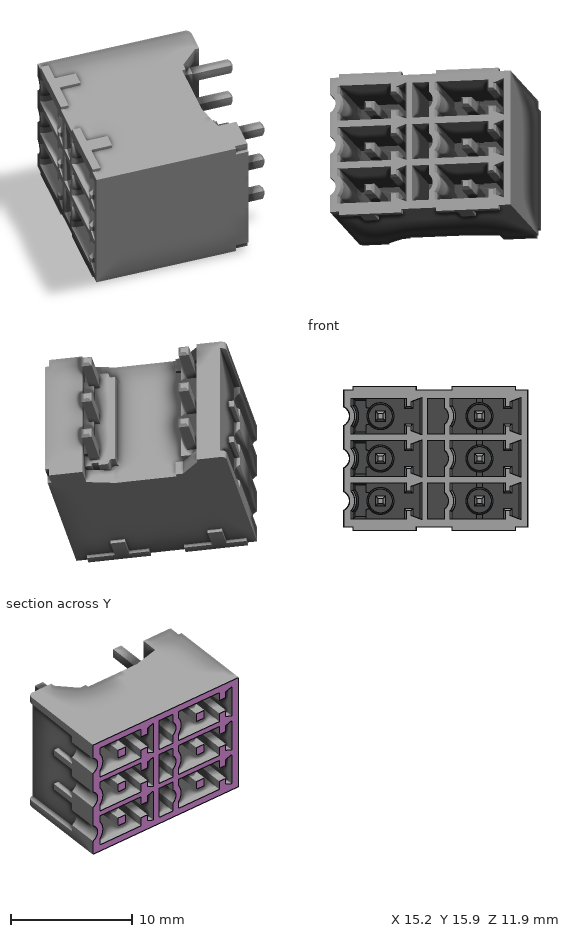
import cadquery as cq
import math


width = 15.2
height = 11.32
back_y = 13.25
pin_end_y = 15.9
total_height = 11.9

column_pitch = 8.17
row_pitch = 3.5
columns = [0, column_pitch]
rows = [-row_pitch, 0, row_pitch]
pin_x = 3.04

plate_inner_z = 4.45
corner_radius = 0.48
saddle_y = 11.05
block_y = 12.16
left_wing_x = 2.45
left_block_x = 3.96
step_x = 4.58
step_y = 11.35
chamfer_start_y = 12.88
right_block_x = 9.51
ramp_start_x = 9.68
right_wing_x = 12.05
ramp_end_y = 11.65
block_fillet = 0.3
saddle_end_x = right_block_x - block_fillet

groove_radius = 0.86
groove_depth = 0.48
groove_center_x = groove_depth - groove_radius
groove_length = 7.28

panel_depth = 0.48
panel_front_z = 4.91
panel_back_z = 5.01
panel_rib = 0.55
panel_rib_end_y = 9.73

pocket_height = 2.94
pocket_depth = 7.95
pocket_left_x = 0.78
pocket_right_x = 6.3
bulge_radius = 1.45
lead_in = 0.16
lead_in_length = 0.4
hook_left_x = 5.01
hook_right_x = 5.71
hook_reach = 0.83
gusset_height = 0.22

recess_depth = 0.64
recess_right_x = 1.85
recess_slot_height = 1.37
recess_taper = 0.17
recess_corner_radius = 0.13
boss_radius = 1.11
boss_height = 0.48
boss_chamfer = 0.13
floor_slot_width = 0.46
floor_slot_depth = 0.32

middle_left_x = 6.92
middle_right_x = 8.33

pin_size = 0.85
pin_start_y = 1.08
pin_chamfer = 0.2
pin_tip_length = 0.48

tab_left_x = 0.76
tab_width = 5.25
tab_depth = 0.68
tab_stem_left_x = 2.45
tab_stem_width = 1.21
tab_stem_depth = 2.5

back_slot_width = 0.59
back_slot_depth = 0.24
block_rise_x = 9.81
block_rise_radius = 0.22
wing_rib_y = 12.6
corner_notch_x = 0.32
corner_notch_z = 0.64


def box(x0, x1, y0, y1, z0, z1):
    return cq.Workplane("XY").box(x1 - x0, y1 - y0, z1 - z0, centered=False).translate((x0, y0, z0))


def y_cylinder(x, z, radius, y0, y1):
    return cq.Workplane("XZ", origin=(x, y0, z)).circle(radius).extrude(y0 - y1)


def plate():
    """Top plate, with the saddle cut into its rear edge."""
    outline = (
        cq.Workplane("XY")
        .moveTo(0, 0)
        .lineTo(width, 0)
        .lineTo(width, back_y)
        .lineTo(right_wing_x, back_y)
        .lineTo(right_wing_x, ramp_end_y)
        .lineTo(ramp_start_x, saddle_y)
        .lineTo(step_x, saddle_y)
        .lineTo(step_x, step_y)
        .lineTo(left_block_x, step_y)
        .lineTo(left_wing_x, chamfer_start_y)
        .lineTo(left_wing_x, back_y)
        .lineTo(corner_radius, back_y)
        .radiusArc((0, back_y - corner_radius), -corner_radius)
        .close()
    )
    return outline.extrude(height / 2 - plate_inner_z)


def core():
    """Housing between the two plates, with stepped blocks beside the saddle."""
    outline = (
        cq.Workplane("XY", origin=(0, 0, -plate_inner_z))
        .moveTo(0, 0)
        .lineTo(width, 0)
        .lineTo(width, back_y)
        .lineTo(right_wing_x, back_y)
        .lineTo(right_wing_x, block_y)
        .lineTo(right_block_x, block_y)
        .lineTo(right_block_x, saddle_y + block_fillet)
        .radiusArc((saddle_end_x, saddle_y), block_fillet)
        .lineTo(left_block_x, saddle_y)
        .lineTo(left_block_x, block_y)
        .lineTo(left_wing_x, block_y)
        .lineTo(left_wing_x, back_y)
        .lineTo(0, back_y)
        .close()
    )
    return outline.extrude(2 * plate_inner_z)


def side_panel():
    """Recess in the left side, leaving a rib between neighbouring rows."""
    panel = (
        cq.Workplane("YZ")
        .polyline([
            (groove_length, -panel_front_z),
            (back_y, -panel_back_z),
            (back_y, panel_back_z),
            (groove_length, panel_front_z),
        ])
        .close()
        .extrude(panel_depth)
    )
    for z in (-row_pitch / 2, row_pitch / 2):
        rib = box(0, panel_depth, groove_length, panel_rib_end_y, z - panel_rib / 2, z + panel_rib / 2)
        panel = panel.cut(rib)
    return panel


def tabs(x):
    """T-shaped keying tab of one column, running through to both faces."""
    half = total_height / 2
    bar = box(x + tab_left_x, x + tab_left_x + tab_width, 0, tab_depth, -half, half)
    stem_x = x + tab_stem_left_x
    return bar.union(box(stem_x, stem_x + tab_stem_width, 0, tab_stem_depth, -half, half))


def bulge_half_height(left, radius):
    """Half height at which the wall bulge meets a flat wall at X = left."""
    return math.sqrt(radius**2 - (left - groove_center_x) ** 2)


def pocket_outline(workplane, flare):
    """Pocket section; flare widens the side walls and thins the two hooks."""
    left = pocket_left_x - flare
    right = pocket_right_x + flare
    radius = bulge_radius - flare
    half = pocket_height / 2
    bulge = bulge_half_height(left, radius)
    hook_left = hook_left_x + flare
    hook_right = hook_right_x - flare
    hook_z = half - hook_reach + flare
    gusset_slope = gusset_height / (pocket_right_x - hook_right_x)
    gusset_z = half - gusset_slope * (pocket_right_x - hook_right)
    right_z = half + gusset_slope * flare
    return (
        workplane.moveTo(left, bulge)
        .lineTo(left, half)
        .lineTo(hook_left, half)
        .lineTo(hook_left, hook_z)
        .lineTo(hook_right, hook_z)
        .lineTo(hook_right, gusset_z)
        .lineTo(right, right_z)
        .lineTo(right, -right_z)
        .lineTo(hook_right, -gusset_z)
        .lineTo(hook_right, -hook_z)
        .lineTo(hook_left, -hook_z)
        .lineTo(hook_left, -half)
        .lineTo(left, -half)
        .lineTo(left, -bulge)
        .threePointArc((groove_center_x + radius, 0), (left, bulge))
        .close()
    )


def pocket():
    """Pocket of one cell, with a tapered lead-in at its mouth."""
    straight = pocket_outline(cq.Workplane("XZ"), 0).extrude(-pocket_depth)
    mouth = pocket_outline(cq.Workplane("XZ"), lead_in)
    mouth = pocket_outline(mouth.workplane(offset=-lead_in_length), 0).loft(ruled=True)
    return straight.union(mouth)


def recess_outline(workplane, taper):
    """Section of the floor recess behind the bulged wall."""
    left = pocket_left_x + taper
    radius = bulge_radius + taper
    half = pocket_height / 2 - taper
    bulge = bulge_half_height(left, radius)
    return (
        workplane.moveTo(left, bulge)
        .lineTo(left, half)
        .lineTo(recess_right_x, half)
        .lineTo(recess_right_x, -half)
        .lineTo(left, -half)
        .lineTo(left, -bulge)
        .threePointArc((groove_center_x + radius, 0), (left, bulge))
        .close()
    )


def floor_recess():
    """Tapered recess with a slot that leads to the boss."""
    recess = recess_outline(cq.Workplane("XZ", origin=(0, pocket_depth, 0)), 0)
    recess = recess_outline(recess.workplane(offset=-recess_depth), recess_taper).loft(ruled=True)
    half = recess_slot_height / 2
    end_y = pocket_depth + recess_depth
    slot = box(recess_right_x, pin_x, pocket_depth, end_y, -half, half)
    flare = recess_corner_radius
    corner_x = recess_right_x + flare
    throat = box(recess_right_x, corner_x, pocket_depth, end_y, -half - flare, half + flare)
    for z in (-half - flare, half + flare):
        throat = throat.cut(y_cylinder(corner_x, z, flare, pocket_depth, end_y))
    return recess.union(slot).union(throat)


def boss():
    """Round boss around the pin on the pocket floor."""
    y0 = pocket_depth - boss_height
    cylinder = y_cylinder(pin_x, 0, boss_radius, y0, pocket_depth + recess_depth)
    return cylinder.faces("<Y").chamfer(boss_chamfer)


def pin():
    """Square pin with a slender tip at the mating end and a chamfered solder end."""
    half = pin_size / 2
    bar = box(pin_x - half, pin_x + half, pin_start_y + pin_tip_length, pin_end_y, -half, half)
    bar = bar.faces(">Y").chamfer(pin_chamfer)
    tip_size = pin_size - 2 * pin_chamfer
    tip = (
        cq.Workplane("XZ", origin=(pin_x, pin_start_y, 0))
        .rect(tip_size, tip_size)
        .workplane(offset=-pin_tip_length)
        .rect(pin_size, pin_size)
        .loft(ruled=True)
    )
    return bar.union(tip)


def floor_slot():
    """Narrow upright slot across the floor of a right-hand pocket."""
    x = column_pitch + pin_x
    half = pocket_height / 2
    end_y = pocket_depth + floor_slot_depth
    return box(x - floor_slot_width / 2, x + floor_slot_width / 2, pocket_depth, end_y, -half, half)


def middle_pocket():
    """Pocket between the columns, extended by the groove in the wall beside it."""
    half = pocket_height / 2
    pocket_box = box(middle_left_x, middle_right_x, 0, groove_length, -half, half)
    groove_x = column_pitch + groove_center_x
    return pocket_box.union(y_cylinder(groove_x, 0, groove_radius, 0, groove_length))


def block_step():
    """Material above the low left end of the right rear block, ending in an S-shaped rise."""
    radius = block_rise_radius
    top = plate_inner_z
    low = top - 2 * radius
    start_x = block_rise_x
    outline = (
        cq.Workplane("XZ", origin=(0, saddle_y, 0))
        .moveTo(saddle_end_x, low)
        .lineTo(start_x, low)
        .radiusArc((start_x + radius, low + radius), -radius)
        .radiusArc((start_x + 2 * radius, top), radius)
        .lineTo(saddle_end_x, top)
        .close()
    )
    return outline.extrude(saddle_y - block_y)


def block_slot():
    """Slot across the right rear block, centered on its pins."""
    x = column_pitch + pin_x
    half = back_slot_width / 2
    return box(x - half, x + half, saddle_y, block_y, plate_inner_z - back_slot_depth, plate_inner_z)


top_plate = plate().translate((0, 0, plate_inner_z))
bottom_plate = top_plate.mirror("XY")
body = core()
for block_cut in (block_step(), block_slot()):
    body = body.cut(block_cut).cut(block_cut.mirror("XY"))
body = body.union(top_plate).union(bottom_plate).cut(side_panel())

body = body.union(
    box(column_pitch + pin_x, right_wing_x, block_y, wing_rib_y, -row_pitch, row_pitch)
)

corner_notch = box(
    width - corner_notch_x, width, block_y, back_y, height / 2 - corner_notch_z, height / 2
)
body = body.cut(corner_notch).cut(corner_notch.mirror("XY"))

for column_x in columns:
    body = body.union(tabs(column_x))

for z in rows:
    body = body.cut(y_cylinder(groove_center_x, z, groove_radius, 0, groove_length))
    body = body.cut(middle_pocket().translate((0, 0, z)))
    for column_x in columns:
        body = body.cut(pocket().translate((column_x, 0, z)))
    body = body.cut(floor_recess().translate((0, 0, z)))
    body = body.cut(floor_slot().translate((0, 0, z)))
    for column_x in columns:
        body = body.union(boss().union(pin()).translate((column_x, 0, z)))

result = body